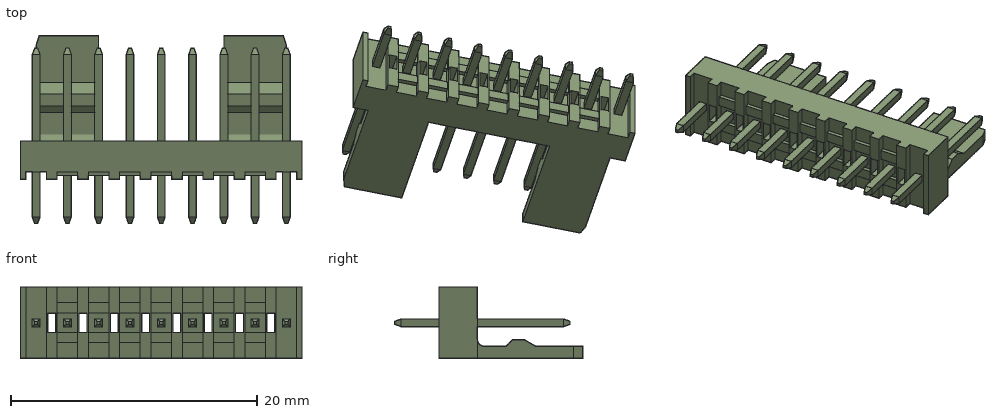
import cadquery as cq

pin_count = 9
body_length = 22.85
body_depth = 3.13
body_height = 5.8
pitch = body_length / pin_count
mid_height = body_height / 2

channel_width = 1.67
channel_depth = 0.62
bar_depth = 0.32
bar_height = 0.85
bar_offset = 1.21

window_width = 0.62
window_height = 1.55

pin_size = 0.65
pin_height = 2.88
pin_front_reach = 3.6
pin_rear_reach = 7.52
tip_length = 0.53
tip_size = 0.25

tab_length = 8.55
tab_thickness = 0.98
tab_pitches = 2
tab_width = tab_pitches * pitch
tab_corner_width = 0.25
tab_corner_length = 0.75
root_radius = 0.57

latch_height = 1.5
latch_base_near = 2.3
latch_top_near = 2.83
latch_top_far = 3.82
latch_base_far = 4.73

front_y = -body_depth
channel_y = front_y + channel_depth
pin_positions = [(i - (pin_count - 1) / 2) * pitch for i in range(pin_count)]
window_positions = [x + pitch / 2 for x in pin_positions[:-1]]


def block(x_center, width, y_start, y_end, z_center, height):
    """Box centred in X and Z that spans y_start to y_end."""
    return cq.Workplane("XY").box(width, y_end - y_start, height).translate(
        (x_center, (y_start + y_end) / 2, z_center)
    )


def make_body():
    body = block(0, body_length, front_y, 0, mid_height, body_height)
    for x in pin_positions:
        body = body.cut(block(x, channel_width, front_y, channel_y, mid_height, body_height))
    for x in window_positions:
        body = body.cut(block(x, window_width, front_y, 0, pin_height, window_height))
    for x in pin_positions[1:-1]:
        for side in (-1, 1):
            z = mid_height + side * bar_offset
            body = body.union(block(x, channel_width, channel_y - bar_depth, channel_y, z, bar_height))
    return body


def make_tip(y_base, direction):
    """Tapered tip centred in X and Z, growing along Y in the given direction."""
    return (
        cq.Workplane("XZ", origin=(0, y_base, 0))
        .rect(pin_size, pin_size)
        .workplane(offset=-direction * tip_length)
        .rect(tip_size, tip_size)
        .loft()
    )


def make_pin():
    front_shoulder = front_y - pin_front_reach + tip_length
    rear_shoulder = pin_rear_reach - tip_length
    shank = block(0, pin_size, front_shoulder, rear_shoulder, 0, pin_size)
    return shank.union(make_tip(front_shoulder, -1)).union(make_tip(rear_shoulder, 1))


def make_right_tab():
    """Tab under the last three pins, with a bevelled outer corner."""
    outer_x = pin_positions[-1]
    inner_x = outer_x - tab_width
    profile = (
        cq.Workplane("YZ", origin=(inner_x, 0, 0))
        .lineTo(tab_length, 0)
        .lineTo(tab_length, tab_thickness)
        .lineTo(latch_base_far, tab_thickness)
        .lineTo(latch_top_far, latch_height)
        .lineTo(latch_top_near, latch_height)
        .lineTo(latch_base_near, tab_thickness)
        .lineTo(root_radius, tab_thickness)
        .radiusArc((0, tab_thickness + root_radius), root_radius)
        .close()
    )
    corner = (
        cq.Workplane("XY")
        .moveTo(outer_x, tab_length)
        .lineTo(outer_x - tab_corner_width, tab_length)
        .lineTo(outer_x, tab_length - tab_corner_length)
        .close()
        .extrude(tab_thickness)
    )
    return profile.extrude(tab_width).cut(corner)


right_tab = make_right_tab()
left_tab = right_tab.mirror("YZ")
result = make_body().union(right_tab).union(left_tab)

pin = make_pin()
for x in pin_positions:
    result = result.union(pin.translate((x, 0, pin_height)))